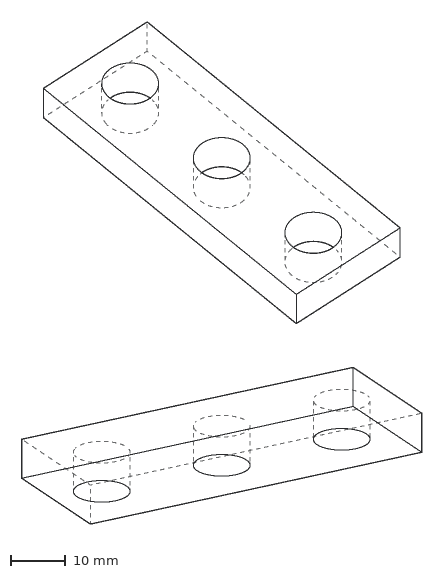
import cadquery as cq

length = 69.85
width = 25.4
thickness = 7.75
hole_diameter = 10.4
hole_count = 3
hole_spacing = 25.3

bar = cq.Workplane("XY").box(length, width, thickness)

result = (
    bar.faces(">Z")
    .workplane()
    .rarray(hole_spacing, 0.7, hole_count, 1)
    .hole(hole_diameter)
)